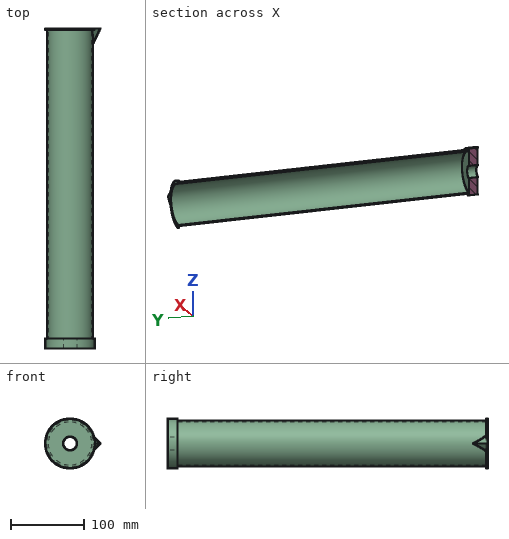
import cadquery as cq

total_length = 436.7
tube_diameter = 63.5
tube_bore = 59.0
rim_diameter = 68.0
rim_thickness = 2.0

cap_diameter = rim_diameter
cap_thickness = 13.5
cap_hole_diameter = 18.5

spout_reach = 41.5
spout_height = 20.5
spout_root = 24.0

tube_length = total_length - cap_thickness


def cylinder_along_y(diameter, start, length):
    """Solid cylinder centred on the Y axis, from y = start toward +Y."""
    return cq.Workplane("XZ").workplane(offset=-start).circle(diameter / 2).extrude(-length)


def spout_outline(sketch_plane, tip_x):
    """Triangle symmetric about z = 0 with 45 degree flanks meeting at tip_x."""
    half_width = tip_x - spout_root
    return sketch_plane.polyline(
        [(spout_root, -half_width), (tip_x, 0), (spout_root, half_width)]
    ).close()


def make_spout():
    """Wedge whose ridge runs from the spout tip down to the tube wall."""
    rim_outline = spout_outline(cq.Workplane("XZ", origin=(0, total_length, 0)), spout_reach)
    foot_plane = rim_outline.workplane(offset=spout_height)
    return spout_outline(foot_plane, tube_diameter / 2).loft(ruled=True)


def make_rim():
    """Disc with a fully rounded edge, flush with the mouth of the tube."""
    edge_radius = rim_thickness / 2
    rim_radius = rim_diameter / 2
    rim_start = total_length - rim_thickness
    return (
        cq.Workplane("XY")
        .moveTo(0, rim_start)
        .lineTo(rim_radius - edge_radius, rim_start)
        .threePointArc((rim_radius, rim_start + edge_radius), (rim_radius - edge_radius, total_length))
        .lineTo(0, total_length)
        .close()
        .revolve(360, (0, 0, 0), (0, 1, 0))
    )


def make_tube():
    """Open tube with a rounded rim and a spout at its +Y end."""
    wall = cylinder_along_y(tube_diameter, cap_thickness, tube_length)
    bore = cylinder_along_y(tube_bore, cap_thickness, tube_length)
    return wall.union(make_rim()).union(make_spout()).cut(bore)


def make_cap():
    """Flat disc with a central hole, closing the -Y end of the tube."""
    disc = cylinder_along_y(cap_diameter, 0, cap_thickness)
    hole = cylinder_along_y(cap_hole_diameter, 0, cap_thickness)
    return disc.cut(hole)


tube = make_tube()
cap = make_cap()
result = cq.Compound.makeCompound([tube.solids().val(), cap.solids().val()])